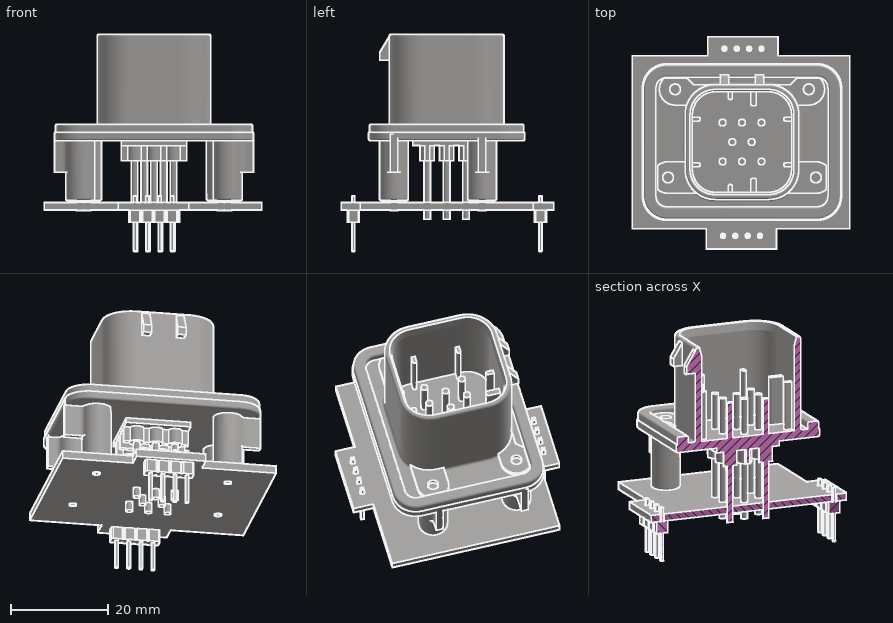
import cadquery as cq
import math


flange_length = 41.0
flange_width = 32.2
flange_corner = 5.0
flange_bottom = 12.65
flange_top = 16.1
edge_round = 0.5
lower_tier_top = 14.55
tier_inset = 0.2
rim_width = 2.8
floor_height = flange_top - 1.5

shroud_length = 23.4
shroud_width = 23.65
shroud_corner = 6.2
shroud_wall = 1.5
shroud_top = 34.6
lead_in_width = 0.5
lead_in_depth = 1.75
cavity_length = shroud_length - 2 * shroud_wall
cavity_width = shroud_width - 2 * shroud_wall
cavity_corner = shroud_corner - shroud_wall

rib_top = 24.7
rib_offset_x = 2.4
rib_offset_y = 4.7
narrow_rib_width = 0.8
narrow_rib_length = 1.6
wide_rib_width = 1.15
wide_rib_length = 2.9
wide_rib_round = 0.45

latch_width = 1.7
latch_spacing = 7.2
latch_reach = 13.8
latch_bottom = 29.2
latch_nose_top = 30.85

rear_post_x = 13.75
rear_post_y = 10.85
front_post_x = 15.2
front_post_y = -7.3
post_diameter = 6.0
post_bottom = 0.35
peg_diameter = 1.5
peg_bottom = -1.75
pad_thickness = 0.65
pad_top = floor_height + pad_thickness
pad_hole_diameter = 2.2
pad_hole_depth = 1.0
pad_radius = 3.25
rear_pad_back = 13.15
rear_pad_notch_y = 11.75
rear_pad_notch_inner_x = 9.9
rear_pad_notch_outer_x = 11.3
front_pad_side = 17.35

web_thickness = 1.5
web_bottom = 6.15
web_fillet = 1.0

pin_pitch = 4.0
pin_diameter = 1.4
pin_top = 22.1
pin_bottom = -3.5
block_length = 13.5
block_width = 14.0
block_bottom = flange_bottom - 1.0
boss_diameter = 3.0
boss_bottom = 8.55
boss_rib_width = 1.0

board_length = 44.75
board_center_x = -0.2
board_thickness = 1.6
board_front = -17.85
board_back = 17.8
tab_length = 14.5
front_tab_end = -22.05
back_tab_end = 21.7
header_hole_diameter = 1.0

header_pitch = 2.54
header_pin_count = 4
header_pin_width = 0.64
header_pin_chamfer = 0.15
header_pin_top = 1.4
header_pin_bottom = -10.14
header_chamfer = 0.3
front_header_x = -0.1
front_header_y = -19.3
back_header_x = 0.2
back_header_y = 19.2

pin_places = [(column * pin_pitch, row * pin_pitch) for row in (-1, 1) for column in (-1, 0, 1)]
pin_places += [(side * pin_pitch / 2, 0) for side in (-1, 1)]
post_places = [
    (side * x, y)
    for x, y in ((rear_post_x, rear_post_y), (front_post_x, front_post_y))
    for side in (-1, 1)
]


def rounded_block(length, width, corner, bottom, top):
    block = cq.Workplane("XY", origin=(0, 0, bottom)).rect(length, width).extrude(top - bottom)
    return block.edges("|Z").fillet(corner)


def cylinders(places, diameter, bottom, top):
    start = cq.Workplane("XY", origin=(0, 0, bottom))
    return start.pushPoints(places).circle(diameter / 2).extrude(top - bottom)


def mirrored_pair(shape):
    return shape.union(shape.mirror("YZ"))


def flange():
    lower = rounded_block(flange_length, flange_width, flange_corner, flange_bottom, lower_tier_top)
    lower = lower.faces("<Z or >Z").edges().fillet(edge_round)
    upper = rounded_block(
        flange_length - 2 * tier_inset,
        flange_width - 2 * tier_inset,
        flange_corner - tier_inset,
        flange_bottom + edge_round,
        flange_top,
    )
    recess = rounded_block(
        flange_length - 2 * rim_width,
        flange_width - 2 * rim_width,
        flange_corner - rim_width,
        floor_height,
        flange_top,
    )
    upper = upper.cut(recess).faces(">Z").edges().fillet(edge_round)
    return lower.union(upper)


def shroud_outside():
    shroud = rounded_block(
        shroud_length, shroud_width, shroud_corner, floor_height - edge_round, shroud_top
    )
    return shroud.faces(">Z").edges().fillet(edge_round)


def add_base_fillet(body):
    half = shroud_width / 2 + edge_round
    near_base = cq.selectors.BoxSelector(
        (-half, -half, floor_height - edge_round / 4), (half, half, floor_height + edge_round / 4)
    )
    return body.edges(near_base).fillet(edge_round)


def cavity():
    hollow = rounded_block(cavity_length, cavity_width, cavity_corner, floor_height, shroud_top)
    lead_in = rounded_block(
        cavity_length + 2 * lead_in_width,
        cavity_width + 2 * lead_in_width,
        cavity_corner + lead_in_width,
        shroud_top - lead_in_depth,
        shroud_top,
    )
    lead_in = lead_in.faces("<Z").chamfer(lead_in_depth - 0.001, lead_in_width)
    return hollow.union(lead_in)


def inner_rib(x, y, angle, width, length, end_round):
    """A rib that starts in the wall at (x, y) and runs inwards, along +X before it is turned."""
    root = shroud_wall / 2
    rib = cq.Workplane("XY", origin=((length - root) / 2, 0, floor_height))
    rib = rib.rect(length + root, width).extrude(rib_top - floor_height)
    rib = rib.edges("|Z and >X").fillet(end_round)
    return rib.rotate((0, 0, 0), (0, 0, 1), angle).translate((x, y, 0))


def inner_ribs():
    narrow = (narrow_rib_width, narrow_rib_length, 0.49 * narrow_rib_width)
    wide = (wide_rib_width, wide_rib_length, wide_rib_round)
    ribs = cq.Workplane("XY")
    for side in (-1, 1):
        wall_y = side * cavity_width / 2
        ribs = ribs.union(inner_rib(-rib_offset_x, wall_y, -90 * side, *narrow))
        ribs = ribs.union(inner_rib(rib_offset_x, wall_y, -90 * side, *wide))
        for end in (-1, 1):
            wall_x = end * cavity_length / 2
            angle = 90 + 90 * end
            ribs = ribs.union(inner_rib(wall_x, side * rib_offset_y, angle, *narrow))
    return ribs


def latches():
    wall = shroud_width / 2
    root = wall - shroud_wall / 2
    wedge = (
        cq.Workplane("YZ", origin=((latch_spacing - latch_width) / 2, 0, 0))
        .moveTo(root, latch_bottom)
        .lineTo(latch_reach, latch_bottom)
        .lineTo(latch_reach, latch_nose_top)
        .lineTo(wall, shroud_top - edge_round)
        .lineTo(root, shroud_top - edge_round)
        .close()
        .extrude(latch_width)
    )
    return mirrored_pair(wedge)


def pads():
    """Pads over the posts: each is round at its post and runs inwards to the shroud."""
    floor = cq.Workplane("XY", origin=(0, 0, floor_height))
    rear_bottom = rear_post_y - pad_radius
    rear_arm = (
        floor.moveTo(0, rear_bottom)
        .lineTo(rear_post_x, rear_bottom)
        .lineTo(rear_post_x, rear_pad_back)
        .lineTo(rear_pad_notch_outer_x, rear_pad_back)
        .lineTo(rear_pad_notch_inner_x, rear_pad_notch_y)
        .lineTo(0, rear_pad_notch_y)
        .close()
        .extrude(pad_thickness)
    )
    front_arm = floor.center(front_post_x / 2, front_post_y).rect(front_post_x, 2 * pad_radius)
    front_arm = front_arm.extrude(pad_thickness)
    round_ends = floor.pushPoints([(rear_post_x, rear_post_y), (front_post_x, front_post_y)])
    round_ends = round_ends.circle(pad_radius).extrude(pad_thickness)
    limits = floor.rect(2 * front_pad_side, 2 * rear_pad_back).extrude(pad_thickness)
    return mirrored_pair(round_ends.union(rear_arm).union(front_arm).intersect(limits))


def posts():
    post = cylinders(post_places, post_diameter, post_bottom, floor_height)
    post = post.faces("<Z").edges().fillet(edge_round)
    return post.union(cylinders(post_places, peg_diameter, peg_bottom, post_bottom + edge_round))


def web(post_x, post_y):
    """A web from a post to the flange edge, flared where it meets the post."""
    height = lower_tier_top - edge_round - web_bottom
    half = web_thickness / 2
    post_radius = post_diameter / 2
    center_y = half + web_fillet
    reach = post_radius + web_fillet
    center_x = math.sqrt(reach**2 - center_y**2)
    touch_x = center_x * post_radius / reach
    touch_y = center_y * post_radius / reach
    half_sweep = math.acos(center_y / reach) / 2
    middle_x = center_x - web_fillet * math.sin(half_sweep)
    middle_y = center_y - web_fillet * math.cos(half_sweep)
    edge = flange_length / 2 - post_x
    outline = (
        cq.Workplane("XY", origin=(post_x, post_y, web_bottom))
        .lineTo(touch_x, touch_y)
        .threePointArc((middle_x, middle_y), (center_x, half))
        .lineTo(edge, half)
        .lineTo(edge, -half)
        .lineTo(center_x, -half)
        .threePointArc((middle_x, -middle_y), (touch_x, -touch_y))
        .close()
    )
    return mirrored_pair(outline.extrude(height))


def contact_supports():
    height = flange_bottom - boss_bottom
    block = cq.Workplane("XY", origin=(0, 0, block_bottom)).rect(block_length, block_width)
    block = block.extrude(flange_bottom - block_bottom)
    ribs = cq.Workplane("XY", origin=(0, 0, boss_bottom))
    ribs = ribs.pushPoints([(0, row * pin_pitch) for row in (-1, 0, 1)])
    ribs = ribs.rect(block_length, boss_rib_width).extrude(height)
    bosses = cylinders(pin_places, boss_diameter, boss_bottom, flange_bottom)
    return block.union(ribs).union(bosses)


def housing_body():
    body = add_base_fillet(flange().union(shroud_outside()))
    body = body.union(pads()).union(latches())
    body = body.cut(cavity()).union(inner_ribs())
    body = body.union(posts())
    body = body.union(web(rear_post_x, rear_post_y)).union(web(front_post_x, front_post_y))
    body = body.cut(cylinders(post_places, pad_hole_diameter, pad_top - pad_hole_depth, pad_top))
    body = body.union(contact_supports())
    return body.union(cylinders(pin_places, pin_diameter, pin_bottom, pin_top))


def header_pin_places(x, y):
    middle = (header_pin_count - 1) / 2
    return [(x + (i - middle) * header_pitch, y) for i in range(header_pin_count)]


def header_body(x, y):
    places = header_pin_places(x, y)
    strip = cq.Workplane("XY", origin=(0, 0, -board_thickness)).pushPoints(places)
    strip = strip.rect(header_pitch, header_pitch).extrude(-header_pitch, combine=False)
    header = cq.Workplane("XY")
    for block in strip.vals():
        header = header.union(cq.Workplane(block).edges("|Z").chamfer(header_chamfer))
    for place in places:
        pin = cq.Workplane("XY", origin=(*place, header_pin_bottom))
        pin = pin.rect(header_pin_width, header_pin_width).extrude(header_pin_top - header_pin_bottom)
        header = header.union(pin.faces("<Z or >Z").chamfer(header_pin_chamfer))
    return header


def board_body():
    def plate(length, center_x, front, back):
        blank = cq.Workplane("XY", origin=(center_x, (front + back) / 2, -board_thickness))
        return blank.rect(length, back - front).extrude(board_thickness)

    board = plate(board_length, board_center_x, board_front, board_back)
    board = board.union(plate(tab_length, front_header_x, front_tab_end, board_front))
    board = board.union(plate(tab_length, back_header_x, board_back, back_tab_end))
    board = board.cut(cylinders(post_places, peg_diameter, -board_thickness, 0))
    board = board.cut(cylinders(pin_places, pin_diameter, -board_thickness, 0))
    header_holes = header_pin_places(front_header_x, front_header_y)
    header_holes += header_pin_places(back_header_x, back_header_y)
    return board.cut(cylinders(header_holes, header_hole_diameter, -board_thickness, 0))


housing = housing_body()
board = board_body()
front_header = header_body(front_header_x, front_header_y)
back_header = header_body(back_header_x, back_header_y)

result = cq.Compound.makeCompound(
    [housing.val(), board.val(), front_header.val(), back_header.val()]
)